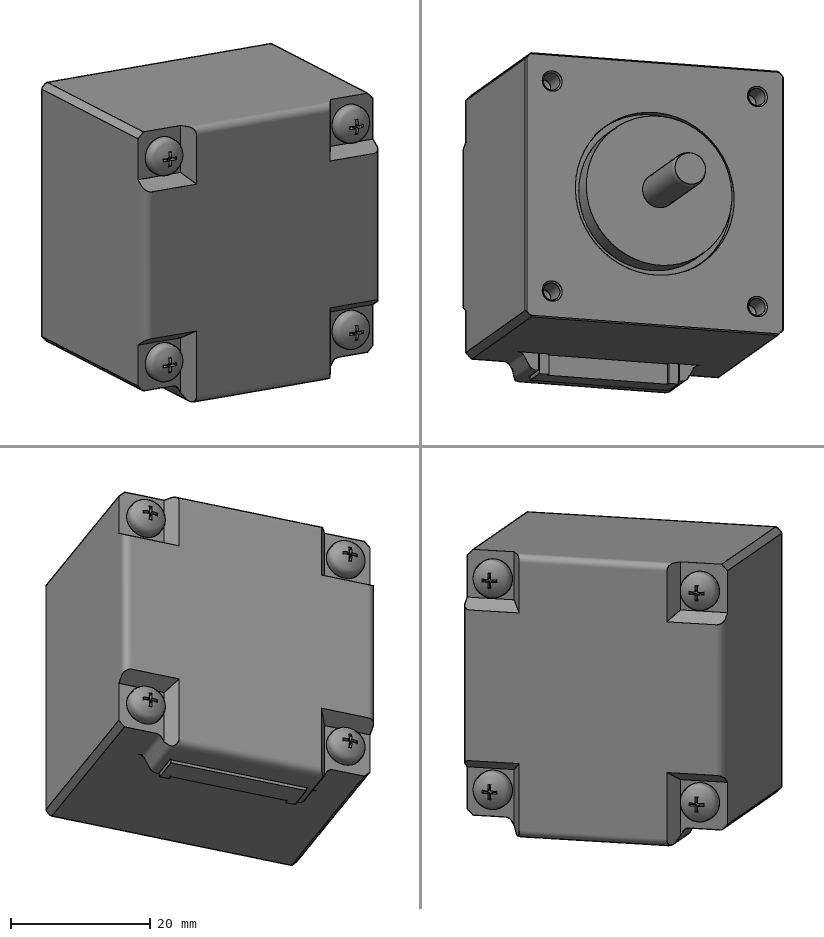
import cadquery as cq
import math

body_width = 39.0
half_width = body_width / 2
body_length = 30.0
corner_chamfer = 0.9
face_chamfer = 0.2

boss_radius = 11.0
boss_height = 2.0
groove_radius = 12.0
groove_depth = 1.5
shaft_radius = 2.5
shaft_reach = 16.5
shaft_tip_length = 0.75
shaft_tip_radius = 2.3

bolt_offset = 15.5
hole_radius = 1.25
hole_mouth_radius = 1.5
hole_depth = 4.5
drill_point_angle = 118.0

cover_start = 21.3
cover_edge_radius = 1.1
lip_bottom = -22.0
lip_flank_y = 12.4
lip_flank_radius = 1.1
lip_flank_angle = math.radians(60)
corner_floor = 27.8
corner_wall_floor = 12.45
corner_wall_rear = 11.05
corner_overrun = 5.0

connector_width = 21.0
connector_length = 4.3
connector_bottom = -22.5
connector_clearance = 0.15
connector_window_width = 18.15
connector_window_depth = 0.6

head_radius = 2.8
head_rim_height = 0.85
crown_start_height = 1.75
crown_radius = 2.2
screw_top = 30.2
recess_length = 2.2
recess_width = 0.4
recess_depth = 1.0


def make_block():
    return cq.Workplane("XY").box(body_length, body_width, body_width, centered=(False, True, True))


def make_body():
    """Square body; the corner chamfers cut straight through the small front edge chamfer."""
    octagon_block = make_block().edges("|X").chamfer(corner_chamfer)
    return make_block().faces("<X").chamfer(face_chamfer).intersect(octagon_block)


def make_lip():
    """Bottom lip of the cover, with S-shaped flanks of two equal tangent arcs."""
    top = -half_width
    mid_z = (top + lip_bottom) / 2
    sin_a = math.sin(lip_flank_angle)
    cos_a = math.cos(lip_flank_angle)
    half_rise = (top - lip_bottom) / 2 - lip_flank_radius * (1 - cos_a)
    half_run = half_rise * cos_a / sin_a
    arc_run = lip_flank_radius * sin_a
    mid_sin = lip_flank_radius * math.sin(lip_flank_angle / 2)
    mid_drop = lip_flank_radius * (1 - math.cos(lip_flank_angle / 2))
    outer_y = lip_flank_y + half_run + arc_run
    inner_y = lip_flank_y - half_run - arc_run
    root = top + corner_chamfer
    profile = (
        cq.Workplane("YZ", origin=(cover_start, 0, 0))
        .moveTo(0, root)
        .lineTo(outer_y, root)
        .lineTo(outer_y, top)
        .threePointArc(
            (outer_y - mid_sin, top - mid_drop),
            (lip_flank_y + half_run, mid_z + half_rise),
        )
        .lineTo(lip_flank_y - half_run, mid_z - half_rise)
        .threePointArc((inner_y + mid_sin, lip_bottom + mid_drop), (inner_y, lip_bottom))
        .lineTo(0, lip_bottom)
        .close()
    )
    half_lip = profile.extrude(body_length - cover_start)
    return half_lip.union(half_lip.mirror("XZ"))


def make_corner_recess(side_y, side_z):
    """Cutter for one screw corner; its two inner walls lean towards the motor axis."""
    outer = half_width + corner_overrun
    floor_size = outer - corner_wall_floor
    rear_size = outer - corner_wall_rear
    floor_centre = (outer + corner_wall_floor) / 2
    rear_centre = (outer + corner_wall_rear) / 2
    return (
        cq.Workplane("YZ", origin=(corner_floor, 0, 0))
        .center(side_y * floor_centre, side_z * floor_centre)
        .rect(floor_size, floor_size)
        .workplane(offset=body_length - corner_floor)
        .center(side_y * (rear_centre - floor_centre), side_z * (rear_centre - floor_centre))
        .rect(rear_size, rear_size)
        .loft(ruled=True)
    )


def revolve_about_x(profile):
    return profile.close().revolve(360, (0, 0, 0), (1, 0, 0))


def make_hole():
    """Cutter for a blind drilled hole with a chamfered mouth and a conical bottom."""
    mouth_depth = hole_mouth_radius - hole_radius
    point_depth = hole_radius / math.tan(math.radians(drill_point_angle / 2))
    profile = (
        cq.Workplane("XY")
        .lineTo(0, hole_mouth_radius)
        .lineTo(mouth_depth, hole_radius)
        .lineTo(hole_depth, hole_radius)
        .lineTo(hole_depth + point_depth, 0)
    )
    return revolve_about_x(profile)


def make_screw_head():
    """Cylindrical rim, rounded shoulder and spherical crown with a cross recess."""
    rim = corner_floor + head_rim_height
    crown = corner_floor + crown_start_height
    crown_height = screw_top - crown
    sphere_radius = (crown_radius**2 + crown_height**2) / (2 * crown_height)
    crown_mid = screw_top - sphere_radius + math.sqrt(sphere_radius**2 - (crown_radius / 2) ** 2)
    profile = (
        cq.Workplane("XY")
        .moveTo(corner_floor, 0)
        .lineTo(corner_floor, head_radius)
        .lineTo(rim, head_radius)
        .tangentArcPoint((crown, crown_radius), relative=False)
        .threePointArc((crown_mid, crown_radius / 2), (screw_top, 0))
    )
    head = revolve_about_x(profile)
    recess = cq.Workplane("YZ", origin=(screw_top, 0, 0))
    for wing_size in ((recess_length, recess_width), (recess_width, recess_length)):
        head = head.cut(recess.rect(*wing_size).extrude(-recess_depth))
    return head


def make_shaft():
    profile = (
        cq.Workplane("XY")
        .moveTo(-shaft_reach, 0)
        .lineTo(-shaft_reach, shaft_tip_radius)
        .lineTo(-shaft_reach + shaft_tip_length, shaft_radius)
        .lineTo(0, shaft_radius)
        .lineTo(0, 0)
    )
    return revolve_about_x(profile)


def make_connector_block(width, length):
    """Block centred on y = 0 that hangs from the body's underside at the front of the cover."""
    height = -half_width - connector_bottom
    block = cq.Workplane("XY").box(length, width, height, centered=(False, True, False))
    return block.translate((cover_start, 0, connector_bottom))


def make_connector():
    block = make_connector_block(connector_width, connector_length)
    window = make_connector_block(connector_window_width, connector_window_depth)
    return block.cut(window)


corners = [(side_y, side_z) for side_y in (-1, 1) for side_z in (-1, 1)]

motor = make_body().union(make_lip())
for side_y, side_z in corners:
    motor = motor.cut(make_corner_recess(side_y, side_z))
motor = motor.faces(">X").edges("|Y or |Z").edges("<Y or >Y or >Z or <Z").fillet(cover_edge_radius)

groove = cq.Workplane("YZ").circle(groove_radius).extrude(groove_depth)
boss_base = cq.Workplane("YZ", origin=(groove_depth, 0, 0))
boss = boss_base.circle(boss_radius).extrude(-groove_depth - boss_height)
motor = motor.cut(groove).union(boss).union(make_shaft())

connector_slot = make_connector_block(connector_width + 2 * connector_clearance, connector_length)
motor = motor.cut(connector_slot).union(make_connector())

for side_y, side_z in corners:
    position = (0, side_y * bolt_offset, side_z * bolt_offset)
    motor = motor.cut(make_hole().translate(position))
    motor = motor.union(make_screw_head().translate(position))

result = motor